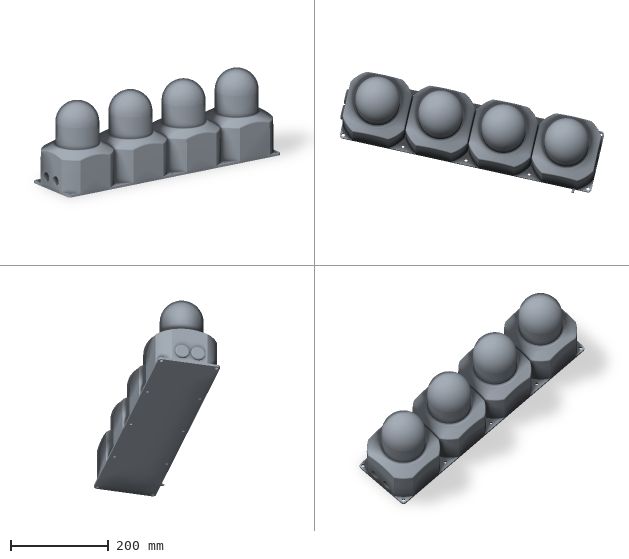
import cadquery as cq
import math

overall_length = 532.0
overall_width = 140.0
overall_height = 180.0
beacon_count = 4
plug_length = 6.0
pin_length = 9.5
base_width = overall_width - pin_length
base_length = overall_length - plug_length
base_thickness = 5.0

housing_width = base_width
corner_radius = 75.0
parting_height = 51.0
lid_draft = 1.0
pitch = (base_length - housing_width) / (beacon_count - 1)

rim_height = 89.5
rim_radius = 50.5
lid_slope = 30.0
lid_fillet = 3.0
cone_fall = math.tan(math.radians(lid_slope))
draft_run = math.tan(math.radians(lid_draft))
lid_edge_height = (
    rim_height - (corner_radius - rim_radius + draft_run * parting_height) * cone_fall
) / (1 - draft_run * cone_fall)
lid_edge_radius = corner_radius - draft_run * (lid_edge_height - parting_height)

dome_diameter = 90.0
dome_radius = dome_diameter / 2
dome_equator = overall_height - dome_radius

end_hole_diameter = 7.0
end_hole_inset = 7.0
side_hole_diameter = 6.0
side_hole_inset = 10.0

entry_spacing = 33.5
entry_height = 24.0
entry_diameter = 19.5
entry_depth = 32.0
drill_point_angle = 118.0
plug_diameter = 30.0
plug_fillet = 2.5

pin_diameter = 5.0
pin_height = 8.5
pin_end_inset = 35.5

overlap = 2.5

beacon_places = [(i - (beacon_count - 1) / 2) * pitch for i in range(beacon_count)]
gap_places = [y + pitch / 2 for y in beacon_places[:-1]]
end_y = base_length / 2
entry_places = [-entry_spacing / 2, entry_spacing / 2]


def make_base():
    base = (
        cq.Workplane("XY")
        .rect(base_width, base_length)
        .extrude(base_thickness)
        .edges("|Z")
        .fillet(end_hole_inset)
    )
    end_holes = (
        cq.Workplane("XY")
        .rect(base_width - 2 * end_hole_inset, base_length - 2 * end_hole_inset, forConstruction=True)
        .vertices()
        .circle(end_hole_diameter / 2)
        .extrude(base_thickness)
    )
    side_hole_x = base_width / 2 - side_hole_inset
    side_holes = (
        cq.Workplane("XY")
        .pushPoints([(x, y) for x in (-side_hole_x, side_hole_x) for y in gap_places])
        .circle(side_hole_diameter / 2)
        .extrude(base_thickness)
    )
    return base.cut(end_holes).cut(side_holes)


def make_housing():
    lower = cq.Workplane("XY").rect(housing_width, housing_width).extrude(parting_height)
    lid = (
        cq.Workplane("XY", origin=(0, 0, parting_height))
        .rect(housing_width, housing_width)
        .extrude(rim_height - parting_height, taper=lid_draft)
    )
    envelope = (
        cq.Workplane("XZ")
        .polyline([
            (0, 0),
            (corner_radius, 0),
            (corner_radius, parting_height),
            (lid_edge_radius, lid_edge_height),
            (rim_radius, rim_height),
            (0, rim_height),
        ])
        .close()
        .revolve(360, (0, 0), (0, 1))
    )
    housing = lower.union(lid).intersect(envelope)
    lid_edges = cq.selectors.BoxSelector(
        (-corner_radius, -corner_radius, lid_edge_height - lid_fillet / 2),
        (corner_radius, corner_radius, rim_height + lid_fillet),
    )
    return housing.edges(lid_edges).fillet(lid_fillet)


def make_dome():
    return (
        cq.Workplane("XZ")
        .moveTo(0, base_thickness)
        .lineTo(dome_radius, base_thickness)
        .lineTo(dome_radius, dome_equator)
        .radiusArc((0, overall_height), -dome_radius)
        .close()
        .revolve(360, (0, 0), (0, 1))
    )


def make_cable_entry(x):
    """Blind drilled hole with a conical end."""
    radius = entry_diameter / 2
    tip_depth = entry_depth + radius / math.tan(math.radians(drill_point_angle / 2))
    return (
        cq.Workplane("XY", origin=(x, -end_y, entry_height))
        .polyline([(0, 0), (radius, 0), (radius, entry_depth), (0, tip_depth)])
        .close()
        .revolve(360, (0, 0), (0, 1))
    )


def make_plug(x):
    """Round blanking plug with a rounded outer edge."""
    return (
        cq.Workplane("XZ", origin=(x, end_y - overlap, entry_height))
        .circle(plug_diameter / 2)
        .extrude(-(overlap + plug_length))
        .faces(">Y")
        .edges()
        .fillet(plug_fillet)
    )


def make_pin():
    return (
        cq.Workplane("YZ", origin=(-base_width / 2 - pin_length, pin_end_inset - end_y, pin_height))
        .circle(pin_diameter / 2)
        .extrude(pin_length + overlap)
    )


beacon = make_housing().union(make_dome())

result = make_base()
for y in beacon_places:
    result = result.union(beacon.translate((0, y, 0)))
for x in entry_places:
    result = result.cut(make_cable_entry(x)).union(make_plug(x))
result = result.union(make_pin())